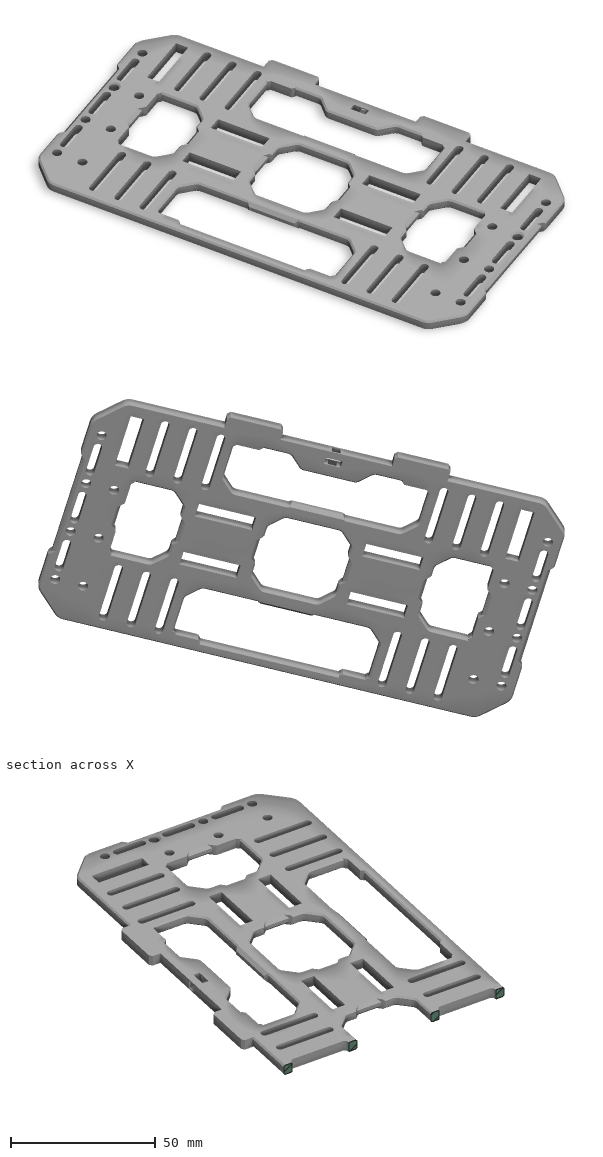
import cadquery as cq
LENGTH = 170.0
WIDTH = 90.0
THICKNESS = 4.0
HALF_LENGTH = LENGTH / 2
HALF_WIDTH = WIDTH / 2
HALF_THICKNESS = THICKNESS / 2
GRID = 10.0
CORNER_CUT = 10.0
CORNER_RADIUS = 5.0
EDGE_CHAMFER = 0.6
STEP = 1.0
GRIP_CHAMFER = 1.25
OVERLAP = 1.0

WINDOW_CUT = 5.0
WINDOW_RADIUS = 2.5
CENTRE_HALF = 15.0
SIDE_WINDOW_INNER = 45.0
SIDE_WINDOW_OUTER = 65.0
LONG_HALF_LENGTH = 35.0
LONG_INNER_Y = 20.0
REAR_OUTER_Y = 40.0
FRONT_OUTER_Y = 41.2
STRIP_INNER_X = 25.0
BRIDGE_HALF = 10.0

SIDE_NOTCH_HALF = 21.0
WINDOW_NOTCH_HALF = 6.0
LIP_HALF = 10.0

TAB_INNER_X = 20.0
TAB_OUTER_X = 40.0
TAB_DEPTH = 4.0
TAB_CORNER = 1.0

SLOT_WIDTH = 3.0
LONG_SLOT = 2 * GRID + SLOT_WIDTH
SHORT_SLOT = GRID + SLOT_WIDTH
STRAP_LENGTH = 20.5
CROSS_STRAP_WIDTH = 5.2
END_STRAP_WIDTH = 4.8
LATCH_LENGTH = 6.0
LATCH_WIDTH = 2.5
LATCH_Y = 41.0
HOLE_DIAMETER = 3.5
LATCH_HOLE_WIDTH = 3.0
LATCH_HOLE_HEIGHT = 3.0
LATCH_HOLE_DEPTH = 7.5
COUNTERSINK_DIAMETER = 4.7
COUNTERSINK_DEPTH = (COUNTERSINK_DIAMETER - HOLE_DIAMETER) / 2

SIDES = (-1, 1)


def prism(points):
    """Full-thickness body with the given plan outline."""
    base = cq.Workplane("XY").workplane(offset=-HALF_THICKNESS)
    return base.polyline(points).close().extrude(THICKNESS)


def mirrored(right_half):
    """Close a right-half outline with its mirror image about the Y axis."""
    left_half = [(-x, y) for x, y in reversed(right_half)]
    return right_half + left_half


def octagon(half_x, half_y, cut):
    right_half = [
        (half_x - cut, -half_y),
        (half_x, -half_y + cut),
        (half_x, half_y - cut),
        (half_x - cut, half_y),
    ]
    return mirrored(right_half)


def centre_window():
    window = prism(octagon(CENTRE_HALF, CENTRE_HALF, WINDOW_CUT))
    return window.edges("|Z").fillet(WINDOW_RADIUS)


def side_window():
    """Window on the +X side, rounded only at its inner corners."""
    window = prism([
        (SIDE_WINDOW_OUTER, -CENTRE_HALF),
        (SIDE_WINDOW_OUTER, CENTRE_HALF),
        (SIDE_WINDOW_INNER + WINDOW_CUT, CENTRE_HALF),
        (SIDE_WINDOW_INNER, CENTRE_HALF - WINDOW_CUT),
        (SIDE_WINDOW_INNER, -CENTRE_HALF + WINDOW_CUT),
        (SIDE_WINDOW_INNER + WINDOW_CUT, -CENTRE_HALF),
    ])
    inner_corners = window.edges("|Z").edges("not(>X)")
    return inner_corners.fillet(WINDOW_RADIUS)


def long_window_start():
    """Right-half outline shared by both long windows, from the inner wall outward."""
    return [
        (LONG_HALF_LENGTH - WINDOW_CUT, LONG_INNER_Y),
        (LONG_HALF_LENGTH, LONG_INNER_Y + WINDOW_CUT),
    ]


def rear_window():
    right_half = long_window_start() + [
        (LONG_HALF_LENGTH, REAR_OUTER_Y),
        (BRIDGE_HALF + WINDOW_CUT, REAR_OUTER_Y),
        (BRIDGE_HALF, REAR_OUTER_Y - WINDOW_CUT),
    ]
    window = prism(mirrored(right_half))
    return window.edges("|Z").fillet(WINDOW_RADIUS)


def front_window():
    right_half = long_window_start() + [(LONG_HALF_LENGTH, FRONT_OUTER_Y)]
    window = prism(mirrored(right_half))
    return window.edges("|Z").fillet(WINDOW_RADIUS).mirror("XZ")


def chamfered_plate():
    plate = prism(octagon(HALF_LENGTH, HALF_WIDTH, CORNER_CUT))
    plate = plate.edges("|Z").fillet(CORNER_RADIUS)
    right = side_window()
    for window in (centre_window(), right, right.mirror("YZ"), rear_window(), front_window()):
        plate = plate.cut(window)
    return plate.faces("|Z").edges().chamfer(EDGE_CHAMFER)


def rear_tabs():
    """Both tabs, joined by a band that keeps the plate rim between them square."""
    rear = HALF_WIDTH + TAB_DEPTH
    right_half = [
        (TAB_OUTER_X, HALF_WIDTH - OVERLAP),
        (TAB_OUTER_X, rear - TAB_CORNER),
        (TAB_OUTER_X - TAB_CORNER, rear),
        (TAB_INNER_X + TAB_CORNER, rear),
        (TAB_INNER_X, rear - TAB_CORNER),
        (TAB_INNER_X, HALF_WIDTH),
    ]
    return prism(mirrored(right_half))


def corner_strip(outer_y):
    """Square-edged strip in the outer +X corner of a long window."""
    strip_y = outer_y - STEP
    return prism([
        (STRIP_INNER_X, outer_y + OVERLAP),
        (STRIP_INNER_X, outer_y),
        (STRIP_INNER_X + STEP, strip_y),
        (LONG_HALF_LENGTH - STEP, strip_y),
        (LONG_HALF_LENGTH, strip_y - STEP),
        (LONG_HALF_LENGTH + OVERLAP, strip_y - STEP),
        (LONG_HALF_LENGTH + OVERLAP, outer_y + OVERLAP),
    ])


def side_strip():
    """Square-edged strip along the outer wall of the +X side window."""
    back = SIDE_WINDOW_OUTER + OVERLAP
    return prism([
        (back, CENTRE_HALF + OVERLAP),
        (SIDE_WINDOW_OUTER - STEP, CENTRE_HALF + OVERLAP),
        (SIDE_WINDOW_OUTER - STEP, CENTRE_HALF),
        (SIDE_WINDOW_OUTER, CENTRE_HALF - STEP),
        (SIDE_WINDOW_OUTER, -CENTRE_HALF + STEP),
        (SIDE_WINDOW_OUTER - STEP, -CENTRE_HALF),
        (SIDE_WINDOW_OUTER - STEP, -CENTRE_HALF - OVERLAP),
        (back, -CENTRE_HALF - OVERLAP),
    ])


def grip(half_length, face_reach):
    """Bar along Y whose face lies at x = STEP and has 45 degree plan ends.

    face_reach is the x position of the face where it meets the plate faces:
    beyond STEP for a notch cutter, short of it for a lip.
    """
    depth = max(STEP, face_reach)
    plan = prism([
        (-OVERLAP, -half_length),
        (0, -half_length),
        (depth, depth - half_length),
        (depth, half_length - depth),
        (0, half_length),
        (-OVERLAP, half_length),
    ])
    straight_half = HALF_THICKNESS - GRIP_CHAMFER
    section = [
        (-OVERLAP, -HALF_THICKNESS),
        (face_reach, -HALF_THICKNESS),
        (STEP, -straight_half),
        (STEP, straight_half),
        (face_reach, HALF_THICKNESS),
        (-OVERLAP, HALF_THICKNESS),
    ]
    bar = cq.Workplane("XZ").polyline(section).close().extrude(half_length, both=True)
    return plan.intersect(bar)


def turned(body, angle):
    return body.rotate((0, 0, 0), (0, 0, 1), angle)


def notch(half_length, wall_x, toward_plus_x):
    """Cutter entering a wall at wall_x that has its material on the given side."""
    cutter = grip(half_length, STEP + GRIP_CHAMFER)
    if not toward_plus_x:
        cutter = turned(cutter, 180)
    return cutter.translate((wall_x, 0, 0))


def right_notches():
    return [
        notch(SIDE_NOTCH_HALF, HALF_LENGTH, False),
        notch(WINDOW_NOTCH_HALF, SIDE_WINDOW_OUTER, True),
        notch(WINDOW_NOTCH_HALF, SIDE_WINDOW_INNER, False),
        notch(WINDOW_NOTCH_HALF, CENTRE_HALF, True),
    ]


def rear_lip():
    """Lip on the inner wall of the rear window."""
    return turned(grip(LIP_HALF, STEP - GRIP_CHAMFER), 90).translate((0, LONG_INNER_Y, 0))


def cut_points(size_x, size_y, points):
    """Rectangular through cuts at the given centres."""
    return cq.Workplane("XY").pushPoints(points).rect(size_x, size_y).extrude(THICKNESS, both=True)


def y_slots(length, points):
    """Round-ended through slots along Y."""
    slots = cq.Workplane("XY").pushPoints(points).slot2D(length, SLOT_WIDTH, 90)
    return slots.extrude(THICKNESS, both=True)


def openings():
    long_slots = [
        (side * column * GRID, row * GRID)
        for side in SIDES for column in (4, 5, 6) for row in (-3, 3)
    ]
    short_slots = [(side * 8 * GRID, row * GRID) for side in SIDES for row in (-2, 0, 2)]
    cross_straps = [(side * 3 * GRID, row * GRID) for side in SIDES for row in SIDES]
    end_straps = [(side * 7 * GRID, 3 * GRID) for side in SIDES]
    outer_holes = [(side * 8 * GRID, row * GRID) for side in SIDES for row in (-3, -1, 1, 3)]
    inner_holes = [(side * 7 * GRID, row * GRID) for side in SIDES for row in (-3, -1, 1)]
    holes = cq.Workplane("XY").pushPoints(outer_holes + inner_holes).circle(HOLE_DIAMETER / 2)
    return [
        y_slots(LONG_SLOT, long_slots),
        y_slots(SHORT_SLOT, short_slots),
        cut_points(STRAP_LENGTH, CROSS_STRAP_WIDTH, cross_straps),
        cut_points(END_STRAP_WIDTH, STRAP_LENGTH, end_straps),
        cut_points(LATCH_LENGTH, LATCH_WIDTH, [(0, LATCH_Y)]),
        latch_hole(),
        holes.extrude(THICKNESS, both=True),
    ]


def latch_hole():
    """Blind rectangular hole along Y at mid thickness, crossing the latch opening."""
    rear_plane = cq.Workplane("XZ", origin=(0, HALF_WIDTH, 0))
    return rear_plane.rect(LATCH_HOLE_WIDTH, LATCH_HOLE_HEIGHT).extrude(LATCH_HOLE_DEPTH)


def countersink(side):
    cone = cq.Solid.makeCone(
        HOLE_DIAMETER / 2,
        COUNTERSINK_DIAMETER / 2,
        COUNTERSINK_DEPTH,
        pnt=cq.Vector(side * 8 * GRID, GRID, HALF_THICKNESS - COUNTERSINK_DEPTH),
    )
    return cq.Workplane("XY").add(cone)


def build():
    body = chamfered_plate().union(rear_tabs())

    right_strips = [corner_strip(REAR_OUTER_Y), corner_strip(FRONT_OUTER_Y).mirror("XZ"), side_strip()]
    for strip in right_strips:
        body = body.union(strip).union(strip.mirror("YZ"))

    lip = rear_lip()
    body = body.union(lip).union(lip.mirror("XZ"))

    for cutter in right_notches():
        body = body.cut(cutter).cut(cutter.mirror("YZ"))
    for cutter in openings():
        body = body.cut(cutter)
    for side in SIDES:
        body = body.cut(countersink(side))
    return body


result = build()